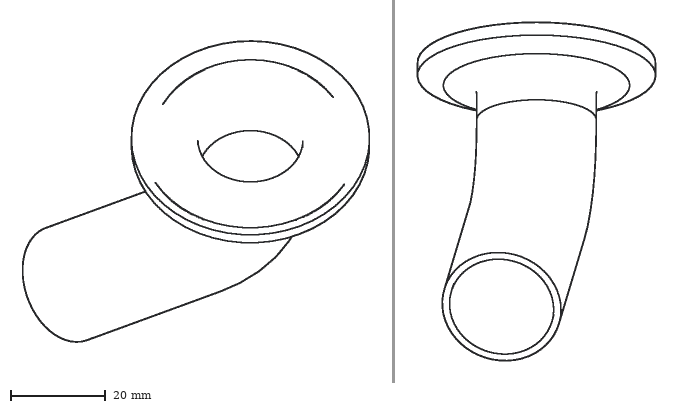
import cadquery as cq
import math

outer_radius = 12.65
wall = 1.55
bore_radius = outer_radius - wall

flange_radius = 25.1
rim_height = 2.9
flange_height = 5.1
back_face_radius = 19.7
neck_fillet = 1.7
ferrule_length = 12.9
bore_edge_radius = 0.7

groove_center_radius = 21.8
groove_floor_radius = 1.1
groove_wall_height = 0.6
groove_lip_radius = 0.6
groove_wall_angle = math.radians(70)

bend_radius = 38.1
bend_angle = 45
straight_length = 41.4


def make_gasket_groove():
    """Ring-shaped cutter whose section is a round floor, two sloped walls and two lips."""
    sine = math.sin(groove_wall_angle)
    cosine = math.cos(groove_wall_angle)
    wall_run = groove_wall_height / math.tan(groove_wall_angle)
    floor_half_width = groove_floor_radius * sine
    wall_top_half_width = floor_half_width + wall_run
    mouth_half_width = wall_top_half_width + groove_lip_radius * sine
    wall_top_z = -groove_lip_radius * (1 - cosine)
    wall_bottom_z = wall_top_z - groove_wall_height
    floor_z = wall_bottom_z - groove_floor_radius * (1 - cosine)

    lip_mid_half_width = mouth_half_width - groove_lip_radius * math.sin(groove_wall_angle / 2)
    lip_mid_z = -groove_lip_radius * (1 - math.cos(groove_wall_angle / 2))

    return (
        cq.Workplane("XZ")
        .moveTo(groove_center_radius - mouth_half_width, 0)
        .threePointArc(
            (groove_center_radius - lip_mid_half_width, lip_mid_z),
            (groove_center_radius - wall_top_half_width, wall_top_z),
        )
        .lineTo(groove_center_radius - floor_half_width, wall_bottom_z)
        .threePointArc(
            (groove_center_radius, floor_z),
            (groove_center_radius + floor_half_width, wall_bottom_z),
        )
        .lineTo(groove_center_radius + wall_top_half_width, wall_top_z)
        .threePointArc(
            (groove_center_radius + lip_mid_half_width, lip_mid_z),
            (groove_center_radius + mouth_half_width, 0),
        )
        .close()
        .revolve(360, (0, 0, 0), (0, 1, 0))
    )


def make_ferrule():
    """Flange with tapered back, filleted neck, rounded bore edge and gasket groove."""
    body = (
        cq.Workplane("XZ")
        .moveTo(bore_radius + bore_edge_radius, 0)
        .lineTo(flange_radius, 0)
        .lineTo(flange_radius, -rim_height)
        .lineTo(back_face_radius, -flange_height)
        .lineTo(outer_radius + neck_fillet, -flange_height)
        .radiusArc((outer_radius, -flange_height - neck_fillet), -neck_fillet)
        .lineTo(outer_radius, -ferrule_length)
        .lineTo(bore_radius, -ferrule_length)
        .lineTo(bore_radius, -bore_edge_radius)
        .radiusArc((bore_radius + bore_edge_radius, 0), bore_edge_radius)
        .close()
        .revolve(360, (0, 0, 0), (0, 1, 0))
    )
    return body.cut(make_gasket_groove())


def make_tube():
    """Tube that bends from the ferrule toward -X and then runs straight."""
    bend = (
        cq.Workplane("XY", origin=(0, 0, -ferrule_length))
        .circle(outer_radius)
        .circle(bore_radius)
        .revolve(bend_angle, (-bend_radius, 0, 0), (-bend_radius, 1, 0))
    )
    return (
        bend.faces("<Z")
        .workplane(centerOption="CenterOfMass")
        .circle(outer_radius)
        .circle(bore_radius)
        .extrude(straight_length)
    )


ferrule = make_ferrule()
tube = make_tube()
result = cq.Compound.makeCompound([ferrule.val(), tube.val()])